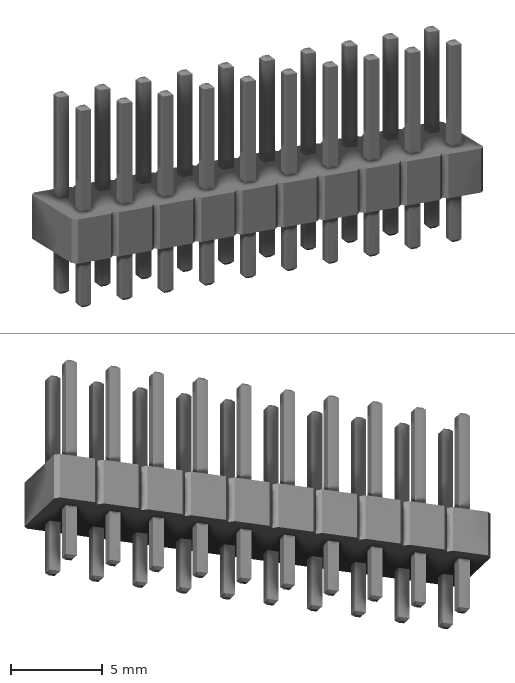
import cadquery as cq

rows = 2
pins_per_row = 10
pitch = 2.55

body_height = 2.55
corner_chamfer = 0.25

pin_side = 0.64
pin_above_body = 6.0
pin_below_body = 3.0
tip_chamfer = 0.15


def centred_positions(count):
    """Coordinates of evenly pitched stations, centred about zero."""
    return [(index - (count - 1) / 2) * pitch for index in range(count)]


def make_segment():
    """Body block around one pair of pins; neighbouring chamfers form the side notches."""
    return (
        cq.Workplane("XY")
        .box(rows * pitch, pitch, body_height, centered=(True, True, False))
        .edges("|Z")
        .chamfer(corner_chamfer)
    )


def make_pin():
    """Square pin with both tips chamfered, running through the body."""
    pin_length = pin_below_body + body_height + pin_above_body
    return (
        cq.Workplane("XY")
        .box(pin_side, pin_side, pin_length, centered=(True, True, False))
        .faces("<Z or >Z")
        .chamfer(tip_chamfer)
        .translate((0, 0, -pin_below_body))
    )


segment = make_segment()
pin = make_pin()

result = cq.Workplane("XY")
for y in centred_positions(pins_per_row):
    result = result.union(segment.translate((0, y, 0)))
    for x in centred_positions(rows):
        result = result.union(pin.translate((x, y, 0)))
result = result.clean()